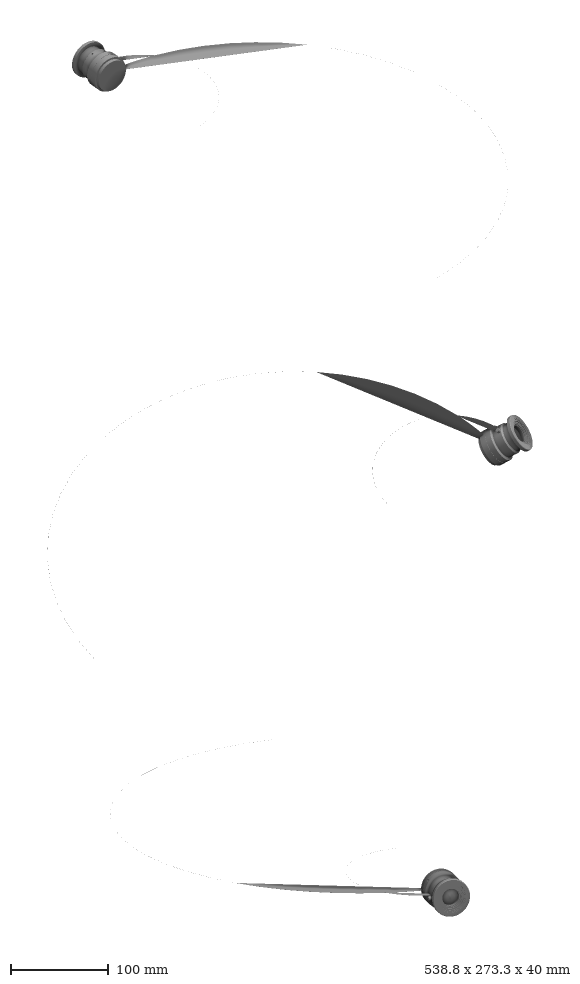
import math

import cadquery as cq


total_length = 538.81
total_width = 273.27

flange_radius = 20.0
flange_end = 4.0
neck_radius = 15.4
neck_end = 12.3
shoulder_radius = 34.0 / 2
shoulder_start = 13.8
shoulder_end = 24.0
grip_radius = 19.7
grip_start = 25.2
grip_middle = 31.6
grip_end = 38.1
grip_line_depth = 0.3
grip_line_width = 0.4
nose_radius = 17.5
barrel_end = 41.8

flange_chamfer = 0.5
rear_steps = [
    (31.0 / 2, 0.4),
    (29.0 / 2, 0.8),
    (26.48 / 2, 1.6),
    (23.0 / 2, 2.2),
    (20.5 / 2, 3.0),
]
bore_radius = 18.2 / 2
dome_pole = 5.5
dome_radius = 30.0
pole_mark_radius = 0.082 / 2
pole_mark_depth = 0.5

screw_x = 16.0
screw_count = 3
screw_angle = -10.0
screw_head_radius = 4.5 / 2
screw_head_top = flange_radius
screw_hole_radius = 2.05 / 2
screw_hole_depth = 3.0

grip_hole_radius = 2.8 / 2
grip_hole_x = 29.2
grip_hole_angle = 37.0
index_hole_radius = 2.0 / 2
index_hole_x = 22.8
index_hole_angle = 180.0
small_hole_depth = 1.5

sheet_thickness = 0.1
wire_radius = 0.082 / 2
front_sphere_radius = total_width - flange_radius
front_sphere_pole = total_length - 2 * front_sphere_radius
rear_sphere_radius = 78.0
rear_sphere_pole = 13.6
blade_angle = 3 * 180.0 / 11
wire_angle = 180.0 - blade_angle
wire_overlap = 1.0


def barrel():
    """Turned outside of the lens, with one fine groove around the middle of the grip."""
    line_start = grip_middle - grip_line_width / 2
    line_end = grip_middle + grip_line_width / 2
    line_radius = grip_radius - grip_line_depth
    outline = [
        (0, 0),
        (0, flange_radius - flange_chamfer),
        (flange_chamfer, flange_radius),
        (flange_end, flange_radius),
        (flange_end, neck_radius),
        (neck_end, neck_radius),
        (shoulder_start, shoulder_radius),
        (shoulder_end, shoulder_radius),
        (grip_start, grip_radius),
        (line_start, grip_radius),
        (line_start, line_radius),
        (line_end, line_radius),
        (line_end, grip_radius),
        (grip_end, grip_radius),
        (grip_end, nose_radius),
        (barrel_end, nose_radius),
        (barrel_end, 0),
    ]
    return cq.Workplane("XY").polyline(outline).close().revolve(360, (0, 0), (1, 0))


def axial_cylinder(radius, start, end):
    return cq.Workplane("YZ", origin=(start, 0, 0)).circle(radius).extrude(end - start)


def rear_opening():
    """Stepped bore whose floor is the convex dome of the rear glass, with a fine hole at its pole."""
    bore_floor = dome_pole + dome_radius - math.sqrt(dome_radius**2 - bore_radius**2)
    dome = cq.Workplane("XY", origin=(dome_pole + dome_radius, 0, 0)).sphere(dome_radius)
    opening = axial_cylinder(bore_radius, 0, bore_floor).cut(dome)
    for radius, floor in rear_steps:
        opening = opening.union(axial_cylinder(radius, 0, floor))
    pole_mark = axial_cylinder(pole_mark_radius, 0, dome_pole + pole_mark_depth)
    return opening.union(pole_mark)


def radial_cylinder(radius, x, angle, inner, outer):
    """Cylinder pointing away from the axis; the angle is measured from +Y towards +Z."""
    pin = cq.Workplane("XZ", origin=(x, inner, 0)).circle(radius).extrude(inner - outer)
    return pin.rotate((0, 0, 0), (1, 0, 0), angle)


def sphere_point(pole, radius, angle):
    """Point of a sphere's XY profile, at an angle from its pole nearest the lens."""
    turn = math.radians(angle)
    return (pole + radius * (1 - math.cos(turn)), radius * math.sin(turn))


def blade(pole, radius):
    """Thin circular segment, below the XY plane, between a sphere profile and its chord."""
    middle = sphere_point(pole, radius, blade_angle / 2)
    tip = sphere_point(pole, radius, blade_angle)
    outline = cq.Workplane("XY").moveTo(pole, 0).threePointArc(middle, tip).close()
    return outline.extrude(-sheet_thickness)


def rim_wire(pole, radius):
    """Hair-thin round wire along a sphere profile, from the blade tip to the far pole."""
    centre = pole + radius
    wire_centre = radius - wire_radius
    return (
        cq.Workplane("XZ", origin=(centre, 0, -sheet_thickness / 2))
        .center(wire_centre, 0)
        .circle(wire_radius)
        .revolve(wire_angle + wire_overlap, (-wire_centre, 0), (-wire_centre, 1))
    )


def screws(body):
    """One raised screw head and, further round the ring, plain screw holes."""
    head = radial_cylinder(screw_head_radius, screw_x, screw_angle, neck_radius, screw_head_top)
    body = body.union(head)
    hole_floor = shoulder_radius - screw_hole_depth
    for place in range(1, screw_count):
        angle = screw_angle + place * 360.0 / screw_count
        body = body.cut(radial_cylinder(screw_hole_radius, screw_x, angle, hole_floor, grip_radius))
    return body


def small_holes(body):
    grip_floor = grip_radius - small_hole_depth
    index_floor = shoulder_radius - small_hole_depth
    body = body.cut(
        radial_cylinder(grip_hole_radius, grip_hole_x, grip_hole_angle, grip_floor, flange_radius)
    )
    return body.cut(
        radial_cylinder(index_hole_radius, index_hole_x, index_hole_angle, index_floor, flange_radius)
    )


body = barrel().cut(rear_opening())
body = screws(body)
body = small_holes(body)
for pole, radius in [
    (rear_sphere_pole, rear_sphere_radius),
    (front_sphere_pole, front_sphere_radius),
]:
    body = body.union(blade(pole, radius))
    body = body.union(rim_wire(pole, radius))

result = body